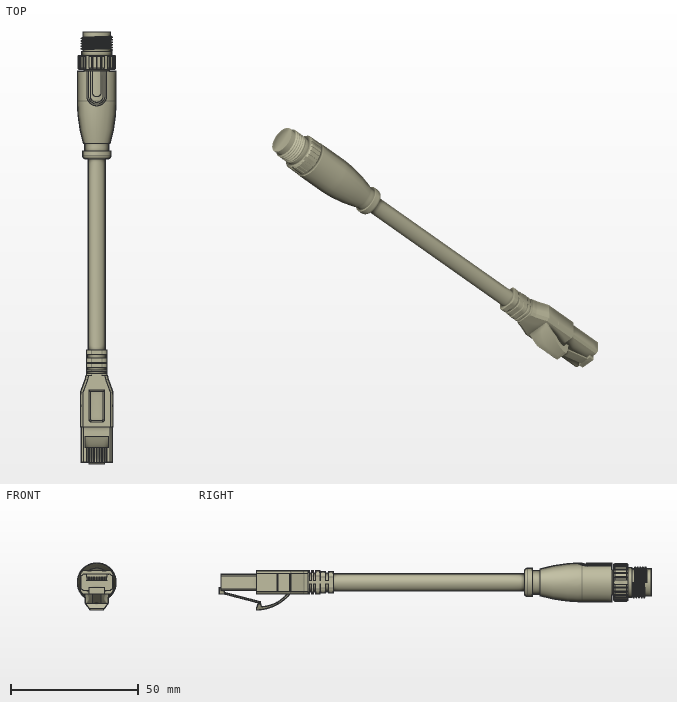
import cadquery as cq
import math


length = 169.0
cable_radius = 3.4

thread_root_radius = 5.4
thread_crest_radius = 6.0
thread_pitch = 1.0
thread_overlap = 0.08
thread_base_share = 0.9
thread_crest_share = 0.1
thread_front = 167.5
thread_back = 161.4
flange_radius = 5.9
nut_radius = 7.5
nut_front = 159.9
nut_back = 154.3
nut_chamfer = 0.5
nut_grip_count = 6
nut_grip_width = 1.7
nut_grip_depth = 0.5
nut_knurl_width = 0.3
nut_knurl_depth = 0.3
nut_knurl_angles = (-14, 0, 14)
neck_radius = 4.9

grip_radius = 7.6
grip_front = 153.6
grip_taper_start = 142.0
grip_back = 125.4
grip_back_radius = 5.2
collar_neck_radius = 4.7
collar_radius = 5.5
collar_front = 122.5
collar_back = 119.3
collar_round = 1.4

label_half_width = 3.9
label_tip = 140.1
label_depth = 0.5
label_base = 5.9
label_band = 0.7
label_pad_half_width = 1.7
label_pad_back = 143.6

boot_back = 34.6
boot_taper_end = 28.0
boot_front = 14.5
boot_half_width = 6.5
boot_back_half_width = 4.2
boot_shoulder = 33.1
boot_shoulder_half_width = 4.5
boot_half_height = 4.5
boot_edge = 1.0
boot_edge_margin = 0.2
boot_groove_places = (27.7, 22.8)
boot_groove_width = 0.5
boot_groove_depth = 0.2
boot_label_half_width = 3.0
boot_label_front = 16.4
boot_label_back = 28.9
boot_label_depth = 0.5
boot_label_wall_angle = 50
boot_label_corner = 0.7

relief_rings = (
    (34.1, 35.3, 4.5),
    (36.2, 36.8, 4.5),
    (37.7, 39.4, 4.5),
    (39.7, 41.5, 4.2),
    (42.8, 44.6, 4.2),
)
relief_half_width = 4.0
relief_round = 2.0
relief_core_radius = 3.7
relief_bridge_height = 1.4

housing_front = 0.7
housing_half_width = 6.0
housing_half_height = 3.2
housing_edge_width = 0.93
housing_edge_height = 0.7
ramp_back = 10.8
ramp_front = 6.5
ramp_half_width = 4.5
contact_half_width = 4.0
contact_top = 2.2
contact_bottom = 0.7
contact_count = 8
contact_pitch = 1.0
contact_slot_width = 0.7

latch_half_width = 3.0
latch_nose_back = 2.0
latch_nose_top = -2.0
latch_nose_bottom = -4.5
latch_arm_half_width = 1.7
latch_arm_thickness = 0.7
latch_arm_end_y = 16.2
latch_arm_end_z = -8.3
guard_root_y = 27.7
guard_root_thickness = 1.2
guard_middle_y = 24.3
guard_middle_z = -7.6
guard_tip_y = 14.5
guard_tip_z = -10.8
guard_thickness = 0.7
guard_half_width = 4.5
guard_tip_half_width = 2.5
guard_taper_z = -8.1
hook_size = 1.0


def round_section(radius, y_low, y_high):
    """Cylinder on the Y axis between two positions."""
    return cq.Workplane("XZ", origin=(0, y_high, 0)).circle(radius).extrude(y_high - y_low)


def box_between(x_range, y_range, z_range):
    """Box given by its limits on each axis."""
    (x0, x1), (y0, y1), (z0, z1) = x_range, y_range, z_range
    return cq.Workplane("XY").box(x1 - x0, y1 - y0, z1 - z0, centered=False).translate((x0, y0, z0))


def side_plate(outline, half_width):
    """Closed outline of (y, z) points, extruded both ways from the middle plane."""
    return cq.Workplane("YZ").polyline(outline).close().extrude(half_width, both=True)


def make_thread():
    root = thread_root_radius - thread_overlap
    height = thread_front - thread_back - thread_pitch
    helix = cq.Wire.makeHelix(thread_pitch, height, root)
    half_base = thread_base_share * thread_pitch / 2
    half_crest = thread_crest_share * thread_pitch / 2
    ridge = (
        cq.Workplane("XZ")
        .polyline([
            (root, -half_base),
            (thread_crest_radius, -half_crest),
            (thread_crest_radius, half_crest),
            (root, half_base),
        ])
        .close()
        .sweep(cq.Workplane(helix), isFrenet=True)
    )
    ridge = ridge.rotate((0, 0, 0), (1, 0, 0), -90)
    return ridge.translate((0, thread_back + thread_pitch / 2, 0))


def make_nut():
    nut = round_section(nut_radius, nut_back, nut_front).edges().chamfer(nut_chamfer)
    y_range = (nut_back, nut_front)

    def groove(width, depth, angle):
        cutter = box_between((-width / 2, width / 2), y_range, (nut_radius - depth, nut_radius + depth))
        return cutter.rotate((0, 0, 0), (0, 1, 0), angle)

    step = 360 / nut_grip_count
    for index in range(nut_grip_count):
        nut = nut.cut(groove(nut_grip_width, nut_grip_depth, (index + 0.5) * step))
        for offset in nut_knurl_angles:
            nut = nut.cut(groove(nut_knurl_width, nut_knurl_depth, index * step + offset))
    return nut


def label_outline(half_width, y_tip):
    """Straight-sided outline with a round nose, open towards the nut."""
    return (
        cq.Workplane("XY", origin=(0, 0, label_base))
        .moveTo(-half_width, grip_front)
        .lineTo(-half_width, y_tip + half_width)
        .threePointArc((0, y_tip), (half_width, y_tip + half_width))
        .lineTo(half_width, grip_front)
        .close()
        .extrude(grip_radius)
    )


def make_grip():
    taper_length = grip_taper_start - grip_back
    drop = grip_radius - grip_back_radius
    taper_arc_radius = (taper_length**2 + drop**2) / (2 * drop)
    mid_angle = math.asin(taper_length / taper_arc_radius) / 2
    taper_middle = (
        grip_radius - taper_arc_radius * (1 - math.cos(mid_angle)),
        grip_taper_start - taper_arc_radius * math.sin(mid_angle),
    )

    def profile(inset):
        return (
            cq.Workplane("XY")
            .moveTo(0, grip_front)
            .lineTo(grip_radius - inset, grip_front)
            .lineTo(grip_radius - inset, grip_taper_start)
            .threePointArc(
                (taper_middle[0] - inset, taper_middle[1]),
                (grip_back_radius - inset, grip_back),
            )
            .lineTo(0, grip_back)
            .close()
            .revolve(360, (0, 0, 0), (0, 1, 0))
        )

    groove = label_outline(label_half_width, label_tip)
    band_outer = label_half_width - label_band
    band = label_outline(band_outer, label_tip + label_band)
    band = band.cut(label_outline(band_outer - label_band, label_tip + 2 * label_band))
    pad = label_outline(label_pad_half_width, label_pad_back)
    groove = groove.cut(band).cut(pad)
    grip = profile(0).cut(groove.cut(profile(label_depth)))

    collar = round_section(collar_radius, collar_back, collar_front).faces("<Y").edges().fillet(collar_round)
    return grip.union(round_section(collar_neck_radius, collar_front, grip_back)).union(collar)


def make_screw_connector():
    return (
        round_section(thread_root_radius, nut_front, length)
        .union(make_thread())
        .union(round_section(flange_radius, nut_front, thread_back))
        .union(make_nut())
        .union(round_section(neck_radius, grip_front, nut_back))
        .union(make_grip())
    )


def make_strain_relief():
    back = relief_rings[-1][1]
    relief = round_section(relief_core_radius, boot_back, back)
    for y_low, y_high, half_height in relief_rings:
        ring = (
            cq.Workplane("XZ", origin=(0, y_high, 0))
            .rect(2 * relief_half_width, 2 * half_height)
            .extrude(y_high - y_low)
            .edges("|Y")
            .fillet(relief_round)
        )
        relief = relief.union(ring)
    bridges = box_between(
        (-relief_half_width, relief_half_width),
        (boot_back, back),
        (-relief_bridge_height / 2, relief_bridge_height / 2),
    )
    return relief.union(bridges)


def make_boot():
    boot = (
        cq.Workplane("XY", origin=(0, 0, -boot_half_height))
        .polyline([
            (-boot_half_width, boot_front),
            (boot_half_width, boot_front),
            (boot_half_width, boot_taper_end),
            (boot_shoulder_half_width, boot_shoulder),
            (boot_back_half_width, boot_back),
            (-boot_back_half_width, boot_back),
            (-boot_shoulder_half_width, boot_shoulder),
            (-boot_half_width, boot_taper_end),
        ])
        .close()
        .extrude(2 * boot_half_height)
    )
    long_sides = cq.selectors.BoxSelector(
        (-length, boot_front + boot_edge_margin, -length),
        (length, boot_back - boot_edge_margin, length),
    )
    boot = boot.faces("<Z or >Z").edges(long_sides).chamfer(boot_edge)

    x_range = (boot_half_width - boot_groove_depth, boot_half_width)
    z_range = (boot_edge - boot_half_height, boot_half_height - boot_edge)
    for y_middle in boot_groove_places:
        y_range = (y_middle - boot_groove_width / 2, y_middle + boot_groove_width / 2)
        groove = box_between(x_range, y_range, z_range)
        boot = boot.cut(groove).cut(groove.mirror("YZ"))

    label_corner_x = boot_label_half_width - boot_label_corner
    label_corner_y = boot_label_front + boot_label_corner
    label = (
        cq.Workplane("XY", origin=(0, 0, boot_half_height))
        .polyline([
            (-label_corner_x, boot_label_front),
            (label_corner_x, boot_label_front),
            (boot_label_half_width, label_corner_y),
            (boot_label_half_width, boot_label_back),
            (-boot_label_half_width, boot_label_back),
            (-boot_label_half_width, label_corner_y),
        ])
        .close()
        .extrude(-boot_label_depth, taper=boot_label_wall_angle)
    )
    return boot.cut(label)


def make_housing():
    wide = housing_half_width
    high = housing_half_height
    flat_x = wide - housing_edge_width
    flat_z = high - housing_edge_height
    housing = (
        cq.Workplane("XZ", origin=(0, boot_front, 0))
        .polyline([
            (-wide, -flat_z), (-flat_x, -high), (flat_x, -high), (wide, -flat_z),
            (wide, flat_z), (flat_x, high), (-flat_x, high), (-wide, flat_z),
        ])
        .close()
        .extrude(boot_front - housing_front)
    )
    ramp = side_plate([(ramp_front, high), (ramp_front, contact_bottom), (ramp_back, high)], ramp_half_width)
    recess = box_between(
        (-contact_half_width, contact_half_width),
        (housing_front, ramp_front),
        (contact_top, high),
    )
    housing = housing.cut(ramp).cut(recess)
    for index in range(contact_count):
        x_middle = (index - (contact_count - 1) / 2) * contact_pitch
        slot = box_between(
            (x_middle - contact_slot_width / 2, x_middle + contact_slot_width / 2),
            (housing_front, ramp_front),
            (contact_bottom, contact_top),
        )
        housing = housing.cut(slot)
    return housing


def make_latch():
    nose = box_between(
        (-latch_half_width, latch_half_width),
        (0, latch_nose_back),
        (latch_nose_bottom, latch_nose_top),
    )
    arm = side_plate(
        [
            (0, latch_nose_bottom),
            (0, latch_nose_bottom + latch_arm_thickness),
            (latch_nose_back, latch_nose_bottom + latch_arm_thickness),
            (latch_arm_end_y, latch_arm_end_z + latch_arm_thickness),
            (latch_arm_end_y, latch_arm_end_z),
            (latch_nose_back, latch_nose_bottom),
        ],
        latch_arm_half_width,
    )
    return nose.union(arm)


def make_guard():
    root_z = -boot_half_height
    outer_middle = (guard_middle_y, guard_middle_z)
    inner_middle = (guard_middle_y - guard_thickness / 2, guard_middle_z + guard_thickness)
    guard = (
        cq.Workplane("YZ")
        .moveTo(guard_root_y, root_z)
        .threePointArc(outer_middle, (guard_tip_y + hook_size, guard_tip_z))
        .lineTo(guard_tip_y, guard_tip_z)
        .lineTo(guard_tip_y, guard_tip_z + guard_thickness)
        .lineTo(latch_arm_end_y - hook_size, latch_arm_end_z)
        .lineTo(latch_arm_end_y, latch_arm_end_z)
        .lineTo(guard_tip_y + 2 * hook_size, guard_tip_z + 2 * guard_thickness)
        .threePointArc(inner_middle, (guard_root_y - guard_root_thickness, root_z))
        .close()
        .extrude(guard_half_width, both=True)
    )
    front_shape = (
        cq.Workplane("XZ", origin=(0, guard_root_y, 0))
        .polyline([
            (-guard_half_width, root_z),
            (-guard_half_width, guard_taper_z),
            (-guard_tip_half_width, guard_tip_z),
            (guard_tip_half_width, guard_tip_z),
            (guard_half_width, guard_taper_z),
            (guard_half_width, root_z),
        ])
        .close()
        .extrude(guard_root_y)
    )
    return guard.intersect(front_shape)


result = (
    round_section(cable_radius, boot_back, collar_back)
    .union(make_screw_connector())
    .union(make_strain_relief())
    .union(make_boot())
    .union(make_housing())
    .union(make_latch())
    .union(make_guard())
)